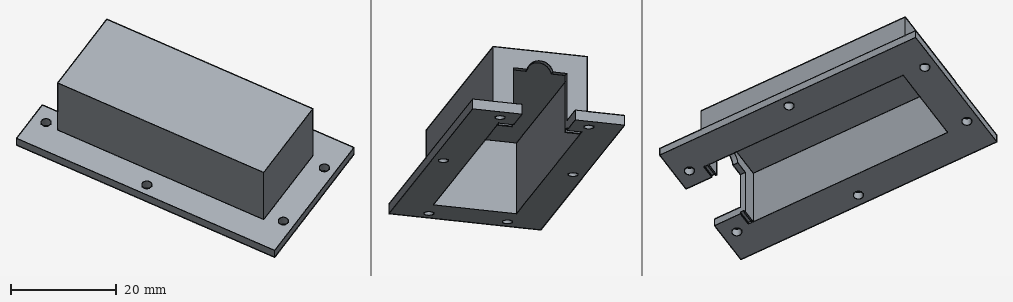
import cadquery as cq

LENGTH = 56.5
WIDTH = 30.0
HEIGHT = 15.5
FLANGE_WIDTH = 5.7
FLANGE_THICKNESS = 2.0
WALL = 1.1

COVER_LENGTH = LENGTH - 2 * FLANGE_WIDTH
COVER_WIDTH = WIDTH - 2 * FLANGE_WIDTH
CAVITY_LENGTH = COVER_LENGTH - 2 * WALL
CAVITY_WIDTH = COVER_WIDTH - 2 * WALL
CAVITY_HEIGHT = HEIGHT - WALL

DOOR_WIDTH = 10.5
DOOR_HEIGHT = 11.6
ARCH_WIDTH = 5.0
ARCH_TOP = 13.6

GROOVE_WIDTH = 0.8
GROOVE_DEPTH = 0.5

HOLE_DIAMETER = 1.9
FRONT_X = -LENGTH / 2
FRONT_HOLE = (FRONT_X + FLANGE_WIDTH / 2, 8.75)
SIDE_HOLE = (FRONT_X + 27.25, 12.8)
REAR_HOLE = (FRONT_X + 54.2, 7.75)


def base_box(length, width, height):
    """Box centred on X and Y, standing on Z = 0."""
    return cq.Workplane("XY").box(length, width, height, centered=(True, True, False))


def make_doorway():
    """Cutter reaching from the -X end of the flange into the cavity."""
    depth = FLANGE_WIDTH + WALL
    return (
        cq.Workplane("YZ", origin=(FRONT_X, 0, 0))
        .moveTo(-DOOR_WIDTH / 2, 0)
        .lineTo(-DOOR_WIDTH / 2, DOOR_HEIGHT)
        .lineTo(-ARCH_WIDTH / 2, DOOR_HEIGHT)
        .threePointArc((0, ARCH_TOP), (ARCH_WIDTH / 2, DOOR_HEIGHT))
        .lineTo(DOOR_WIDTH / 2, DOOR_HEIGHT)
        .lineTo(DOOR_WIDTH / 2, 0)
        .close()
        .extrude(depth)
    )


def make_underside_groove():
    """Cutter starting at the outer face of the -X wall, as wide as the cavity."""
    groove_centre_x = -COVER_LENGTH / 2 + GROOVE_WIDTH / 2
    return base_box(GROOVE_WIDTH, CAVITY_WIDTH, GROOVE_DEPTH).translate((groove_centre_x, 0, 0))


def make_screw_holes():
    """Six vertical cutters through the flange."""
    centres = []
    for x, y in (FRONT_HOLE, SIDE_HOLE, REAR_HOLE):
        centres.append((x, y))
        centres.append((x, -y))
    return (
        cq.Workplane("XY")
        .pushPoints(centres)
        .circle(HOLE_DIAMETER / 2)
        .extrude(FLANGE_THICKNESS)
    )


flange = base_box(LENGTH, WIDTH, FLANGE_THICKNESS)
cover = base_box(COVER_LENGTH, COVER_WIDTH, HEIGHT)
cavity = base_box(CAVITY_LENGTH, CAVITY_WIDTH, CAVITY_HEIGHT)

shell = flange.union(cover).cut(cavity)
result = shell.cut(make_doorway()).cut(make_underside_groove()).cut(make_screw_holes())